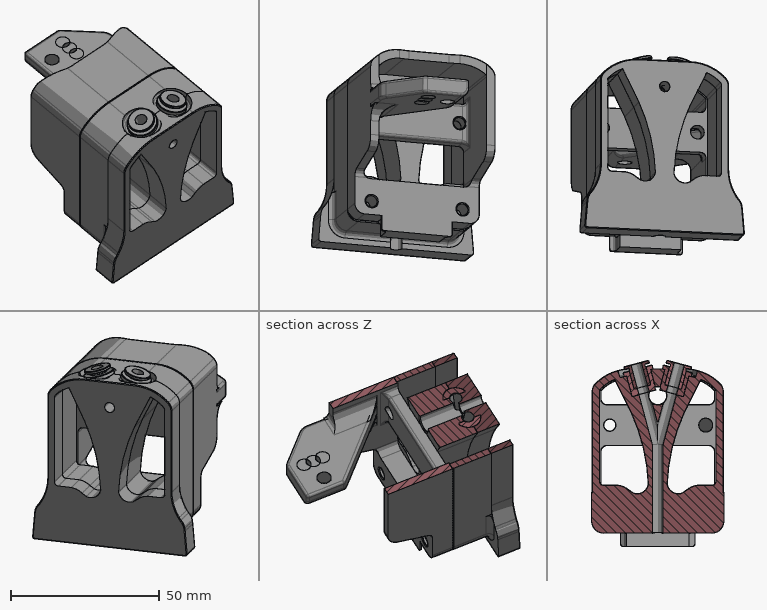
import cadquery as cq
import math


half_width = 22.1
wall = 3.0
top_z = 59.87
top_flat_half = 9.0
shoulder_radius = 4.0
inner_half = half_width - wall
diagonal = math.sqrt(0.5)
crown_radius = (half_width - shoulder_radius * (1 - diagonal) - top_flat_half) / diagonal
shoulder_z = top_z - crown_radius * (1 - diagonal) - shoulder_radius * diagonal
outline_overlap = 1.0

overall_length = 69.4
rear_x = 8.2
joint_x = -14.5
block_front_x = -22.2
crown_front_x = -35.0
hood_front_x = -39.0
arm_tip_x = rear_x - overall_length

shell_bottom_z = 5.2
shell_bottom_radius = 3.4
cavity_floor_z = 17.7
cavity_floor_radius = 2.6
brow_fillet = 10.0
skirt_angle = 15.0
skirt_corner_z = 19.9
skirt_front_radius = 5.0
skirt_rear_radius = 2.5
tab_half = 12.55
tab_corner_radius = 0.9
tab_root_radius = 0.85
tab_lip_thickness = 0.7
tab_stem_half = 10.5
tab_stem_radius = 2.0

bar_front_x = -19.0
bar_bottom_z = 34.0
bar_top_z = 47.8
bar_edge_fillet = 1.0
bar_end_radius = 2.0
mount_hole_diameter = 4.0
mount_hole_rim_diameter = 4.7
bar_hole_diameter = 4.7
mount_hole_y = 16.15
mount_low_z = 9.88
mount_high_z = 40.9

arm_bottom_z = 38.05
arm_top_z = 44.0
arm_side_y = -5.5
arm_tip_corner_y = 10.2
arm_corner_x = -47.0
arm_outer_radius = 5.0
arm_tip_radius = 2.0
arm_edge_fillet = 0.9
arm_low_side_radius = 3.0
gusset_radius = 5.0
gusset_front_top_radius = 2.0

arm_hole_diameter = 4.8
arm_hole_x = -52.35
arm_hole_y = -0.7
plug_y = 7.3
plug_pitch = 3.5
plug_xs = [arm_hole_x + step * plug_pitch for step in (-1, 0, 1)]

block_bottom_z = 4.7
block_bottom_radius = 3.9
joint_chamfer = 0.4
flange_fillet = 2.0
flange_fillet_top_z = 18.2
flange_half = 27.585
flange_bottom_z = 0.74
flange_side_half = 26.82
flange_side_z = 9.7
flange_ear_half = 26.7
flange_ear_z = 10.7
flange_ear_mid_half = 26.2
flange_ear_mid_z = 12.2
flange_ear_top_half = 25.3
flange_ear_top_z = 13.4
flange_flare_half = 24.7
flange_flare_z = 14.3
flange_flare_mid_half = 22.75
flange_flare_mid_z = 18.6
flange_top_z = 23.3
flange_corner_radius = 0.85
rear_chamfer = 0.3

window_wall = 2.5
window_corner_radius = 1.35
sill_z = 20.7
sill_bend_y = 13.6
sill_slope_y = 11.6
sill_slope_z = 20.2
sill_ramp_y = 9.8
sill_ramp_z = 19.1
trough_y = 8.3
trough_z = 18.1
web_root_half = 5.0
web_root_z = 18.35
web_foot_half = 3.2
web_foot_z = 21.0
web_mid_half = 5.0
web_mid_z = 33.8
web_neck_half = 8.9
web_neck_z = 45.0
web_top_half = 16.3

screw_z = 50.8
screw_hole_diameter = 3.5
screw_head_diameter = 6.0
screw_head_chamfer = 0.4

tilt = 15.0
seat_y = 6.46
seat_z = 58.62
recess_radius = 6.55
recess_floor_radius = 0.5
recess_height = 8.0
fitting_flange_diameter = 10.45
fitting_flange_height = 1.3
fitting_barrel_diameter = 8.47
fitting_barrel_length = 7.2
collet_flange_diameter = 9.0
collet_flange_height = 1.0
collet_shank_diameter = 6.0
collet_depth = 5.0
collet_top = 3.12
tube_diameter = 4.0
rim_chamfer = 0.2
merge_z = seat_z - seat_y / math.tan(math.radians(tilt))


def hood_profile(inset, bottom_z, bottom_radius, x_start, length):
    """Extrude the hood section, shrunk by `inset` at its sides and crown, along X."""
    side = half_width - inset
    crown = top_z - inset
    shoulder = shoulder_radius - inset
    arc = crown_radius - inset
    crown_centre_z = crown - arc
    shoulder_y = top_flat_half + arc * diagonal
    half_turn = math.pi / 8
    sin_half = math.sin(half_turn)
    cos_half = math.cos(half_turn)
    section = (
        cq.Workplane("YZ", origin=(x_start, 0, 0))
        .moveTo(-side, bottom_z)
        .lineTo(side, bottom_z)
        .lineTo(side, shoulder_z)
        .threePointArc(
            (side - shoulder * (1 - cos_half), shoulder_z + shoulder * sin_half),
            (shoulder_y, shoulder_z + shoulder * diagonal),
        )
        .threePointArc(
            (top_flat_half + arc * sin_half, crown_centre_z + arc * cos_half),
            (top_flat_half, crown),
        )
        .lineTo(-top_flat_half, crown)
        .threePointArc(
            (-top_flat_half - arc * sin_half, crown_centre_z + arc * cos_half),
            (-shoulder_y, shoulder_z + shoulder * diagonal),
        )
        .threePointArc(
            (-side + shoulder * (1 - cos_half), shoulder_z + shoulder * sin_half),
            (-side, shoulder_z),
        )
        .close()
        .extrude(length)
    )
    if bottom_radius:
        section = section.faces("<Z").edges("|X").fillet(bottom_radius)
    return section


def x_cylinder(diameter, y, z, x_start, x_end):
    return (
        cq.Workplane("YZ", origin=(x_start, y, z)).circle(diameter / 2).extrude(x_end - x_start)
    )


def countersink(hole_diameter, rim_diameter, y, z, x_front):
    """45 degree cone that breaks the front edge of a hole along X."""
    depth = (rim_diameter - hole_diameter) / 2
    return (
        cq.Workplane("YZ", origin=(x_front, y, z))
        .circle(rim_diameter / 2)
        .workplane(offset=depth)
        .circle(hole_diameter / 2)
        .loft()
    )


def place_fitting(shape, side):
    """Move a shape from the Z axis onto the tilted fitting axis of one side (+1 or -1)."""
    return shape.rotate((0, 0, 0), (1, 0, 0), -side * tilt).translate((0, side * seat_y, seat_z))


def hood_side_outline():
    """Side view of the hood walls and lower block, as a prism across the full width."""
    slope = math.tan(math.radians(skirt_angle))
    skirt_front_z = skirt_corner_z + (block_front_x - hood_front_x) * slope
    prism = (
        cq.Workplane("XZ", origin=(0, half_width, 0))
        .polyline([
            (joint_x, shell_bottom_z),
            (block_front_x, shell_bottom_z),
            (block_front_x, skirt_corner_z),
            (hood_front_x, skirt_front_z),
            (hood_front_x, top_z),
            (joint_x, top_z),
        ])
        .close()
        .extrude(2 * half_width)
    )
    front_corner = (hood_front_x, 0, skirt_front_z)
    rear_corner = (block_front_x, 0, skirt_corner_z)
    prism = prism.edges(cq.NearestToPointSelector(front_corner)).fillet(skirt_front_radius)
    return prism.edges(cq.NearestToPointSelector(rear_corner)).fillet(skirt_rear_radius)


def brow_plan():
    """Plan of the hood with its brow set back in the middle, as a tall prism."""
    prism = (
        cq.Workplane("XY")
        .polyline([
            (joint_x, -half_width),
            (hood_front_x, -half_width),
            (hood_front_x, -inner_half),
            (crown_front_x, -top_flat_half),
            (crown_front_x, top_flat_half),
            (hood_front_x, inner_half),
            (hood_front_x, half_width),
            (joint_x, half_width),
        ])
        .close()
        .extrude(top_z)
    )
    for side in (-1, 1):
        corner = (crown_front_x, side * top_flat_half, top_z / 2)
        prism = prism.edges(cq.NearestToPointSelector(corner)).fillet(brow_fillet)
    return prism


def make_hood():
    length = joint_x - hood_front_x
    outer = hood_profile(0, shell_bottom_z, shell_bottom_radius, hood_front_x, length)
    cavity = hood_profile(wall, cavity_floor_z, cavity_floor_radius, hood_front_x, length)
    return outer.cut(cavity).intersect(hood_side_outline()).intersect(brow_plan())


def bar_plan_end(plan, side):
    """Trace one end of the bar's plan, in the direction from -Y to +Y."""
    foot = (bar_front_x, side * (inner_half - bar_end_radius))
    flare = (bar_front_x - bar_end_radius, side * inner_half)
    if side > 0:
        return plan.lineTo(*foot).radiusArc(flare, -bar_end_radius)
    return plan.lineTo(*flare).radiusArc(foot, -bar_end_radius)


def make_cross_bar():
    """Bar between the hood walls, flaring into both walls on its front, top and bottom."""
    foot_y = inner_half - bar_end_radius
    low_z = bar_bottom_z - bar_end_radius
    high_z = bar_top_z + bar_end_radius
    plan = cq.Workplane("XY", origin=(0, 0, low_z)).moveTo(joint_x, -inner_half)
    for side in (-1, 1):
        plan = bar_plan_end(plan, side)
    plan = plan.lineTo(joint_x, inner_half).close().extrude(high_z - low_z)
    elevation = (
        cq.Workplane("YZ", origin=(joint_x, 0, 0))
        .moveTo(-inner_half, low_z)
        .radiusArc((-foot_y, bar_bottom_z), bar_end_radius)
        .lineTo(foot_y, bar_bottom_z)
        .radiusArc((inner_half, low_z), bar_end_radius)
        .lineTo(inner_half, high_z)
        .radiusArc((foot_y, bar_top_z), bar_end_radius)
        .lineTo(-foot_y, bar_top_z)
        .radiusArc((-inner_half, high_z), bar_end_radius)
        .close()
        .extrude(bar_front_x - bar_end_radius - joint_x)
    )
    bar = plan.intersect(elevation)
    for edge_z in (bar_bottom_z, bar_top_z):
        bar = bar.edges(cq.NearestToPointSelector((bar_front_x, 0, edge_z))).fillet(bar_edge_fillet)
    return bar


def make_tab():
    """Foot below the lower block: a wide front lip on a narrower stem."""
    lip_rear_x = block_front_x + tab_lip_thickness
    stem_start_x = lip_rear_x + tab_stem_radius
    overlap_z = shell_bottom_z + outline_overlap
    tab = (
        cq.Workplane("YZ", origin=(block_front_x, 0, 0))
        .moveTo(0, overlap_z / 2)
        .rect(2 * tab_half, overlap_z)
        .extrude(joint_x - block_front_x)
        .faces("<Z")
        .edges("|X")
        .fillet(tab_corner_radius)
    )
    for side in (-1, 1):
        stem_y = side * tab_stem_half
        relief = (
            cq.Workplane("XY")
            .moveTo(lip_rear_x, side * half_width)
            .lineTo(lip_rear_x, stem_y + side * tab_stem_radius)
            .radiusArc((stem_start_x, stem_y), -side * tab_stem_radius)
            .lineTo(joint_x, stem_y)
            .lineTo(joint_x, side * half_width)
            .close()
            .extrude(shell_bottom_z)
        )
        root = (
            cq.Workplane("YZ", origin=(stem_start_x, 0, 0))
            .moveTo(stem_y, shell_bottom_z - tab_root_radius)
            .radiusArc((stem_y + side * tab_root_radius, shell_bottom_z), -side * tab_root_radius)
            .lineTo(stem_y, shell_bottom_z)
            .close()
            .extrude(joint_x - stem_start_x)
        )
        tab = tab.cut(relief)
        tab = tab.union(root)
    return tab


arm_wall_x = arm_corner_x + inner_half - arm_side_y
arm_points = [
    (arm_tip_x, arm_side_y),
    (arm_corner_x, arm_side_y),
    (arm_wall_x, inner_half),
    (arm_wall_x, half_width),
    (arm_tip_x + half_width - arm_tip_corner_y, half_width),
    (arm_tip_x, arm_tip_corner_y),
]


def arm_prism(bottom_z, top):
    return cq.Workplane("XY", origin=(0, 0, bottom_z)).polyline(arm_points).close().extrude(top - bottom_z)


def make_arm_plate():
    middle_z = (arm_bottom_z + arm_top_z) / 2
    plate = arm_prism(arm_bottom_z, arm_top_z)
    low_edge = ((arm_tip_x + arm_corner_x) / 2, arm_side_y, arm_bottom_z)
    outer_corner = (*arm_points[4], middle_z)
    plate = plate.edges(cq.NearestToPointSelector(outer_corner)).fillet(arm_outer_radius)
    plate = plate.edges(cq.NearestToPointSelector((*arm_points[5], middle_z))).fillet(arm_tip_radius)
    plate = plate.edges(cq.NearestToPointSelector(low_edge)).fillet(arm_low_side_radius)
    plate = plate.faces(">Z or <Z or <X").edges().fillet(arm_edge_fillet)
    return plate


def make_gusset(plate_z, up, front_radius):
    """Concave blend from the arm into the hood wall, above (up = 1) or below (up = -1) the arm."""
    inner_start_y = inner_half - gusset_radius
    reach_z = plate_z + up * gusset_radius
    across = (
        cq.Workplane("YZ", origin=(arm_tip_x, 0, 0))
        .moveTo(inner_start_y, plate_z)
        .radiusArc((inner_half, reach_z), -up * gusset_radius)
        .lineTo(half_width, reach_z)
        .lineTo(half_width, plate_z)
        .close()
        .extrude(arm_wall_x - arm_tip_x)
    )
    front_z = plate_z + up * front_radius
    along = (
        cq.Workplane("XZ", origin=(0, half_width, 0))
        .moveTo(hood_front_x - front_radius, plate_z)
        .radiusArc((hood_front_x, front_z), -up * front_radius)
        .lineTo(hood_front_x, reach_z + up * outline_overlap)
        .lineTo(arm_wall_x, reach_z + up * outline_overlap)
        .lineTo(arm_wall_x, plate_z)
        .close()
        .extrude(2 * half_width)
    )
    low_z, high_z = sorted((plate_z, reach_z))
    return across.intersect(along).intersect(arm_prism(low_z, high_z))


def hole_prism(x, y):
    return (
        cq.Workplane("XY", origin=(x, y, arm_bottom_z))
        .circle(arm_hole_diameter / 2)
        .extrude(arm_top_z - arm_bottom_z)
    )


def make_front_shell():
    shell = make_hood().union(make_cross_bar()).union(make_tab()).union(make_arm_plate())
    shell = shell.union(make_gusset(arm_top_z, 1, gusset_front_top_radius))
    shell = shell.union(make_gusset(arm_bottom_z, -1, gusset_radius))
    mounts = [
        (mount_hole_y, mount_low_z, block_front_x),
        (-mount_hole_y, mount_low_z, block_front_x),
        (-mount_hole_y, mount_high_z, bar_front_x),
    ]
    for y, z, face_x in mounts:
        shell = shell.cut(x_cylinder(mount_hole_diameter, y, z, block_front_x, joint_x))
        shell = shell.cut(countersink(mount_hole_diameter, mount_hole_rim_diameter, y, z, face_x))
    shell = shell.cut(x_cylinder(bar_hole_diameter, mount_hole_y, mount_high_z, block_front_x, joint_x))
    shell = shell.cut(hole_prism(arm_hole_x, arm_hole_y))
    for x in plug_xs:
        shell = shell.cut(hole_prism(x, plug_y))
    return shell


def make_plug(index):
    """Plug filling one of the three overlapping holes, relieved where the holes overlap."""
    plug = hole_prism(plug_xs[index], plug_y)
    for other, x in enumerate(plug_xs):
        if other != index:
            plug = plug.cut(hole_prism(x, plug_y))
    return plug


def window_outline(side, x_start):
    """Area beside the Y-shaped web and above the sill, on one side."""
    return (
        cq.Workplane("YZ", origin=(x_start, 0, 0))
        .moveTo(side * half_width, sill_z)
        .lineTo(side * sill_bend_y, sill_z)
        .threePointArc((side * sill_slope_y, sill_slope_z), (side * sill_ramp_y, sill_ramp_z))
        .lineTo(side * trough_y, trough_z)
        .threePointArc((side * web_root_half, web_root_z), (side * web_foot_half, web_foot_z))
        .threePointArc((side * web_mid_half, web_mid_z), (side * web_neck_half, web_neck_z))
        .lineTo(side * web_top_half, top_z)
        .lineTo(side * half_width, top_z)
        .close()
    )


def window_opening(x_start, length):
    return hood_profile(window_wall, cavity_floor_z, 0, x_start, length)


def cut_windows(body, x_start, x_end):
    length = x_end - x_start
    for side in (-1, 1):
        window = window_opening(x_start, length).intersect(window_outline(side, x_start).extrude(length))
        corner = ((x_start + x_end) / 2, side * (half_width - window_wall), sill_z)
        window = window.edges(cq.NearestToPointSelector(corner)).fillet(window_corner_radius)
        body = body.cut(window)
    return body


def cut_fitting_space(body):
    """Recess, barrel bore and tube channel of each fitting, and the common outlet."""
    for side in (-1, 1):
        recess = cq.Workplane("XY").circle(recess_radius).extrude(recess_height)
        recess = recess.faces("<Z").edges().fillet(recess_floor_radius)
        barrel = cq.Workplane("XY").circle(fitting_barrel_diameter / 2).extrude(-fitting_barrel_length)
        channel_length = seat_y / math.sin(math.radians(tilt))
        channel = cq.Workplane("XY").circle(tube_diameter / 2).extrude(-channel_length)
        for tool in (recess, barrel, channel):
            body = body.cut(place_fitting(tool, side))
    outlet = cq.Workplane("XY").circle(tube_diameter / 2).extrude(merge_z)
    return body.cut(outlet)


def flange_skirt(x_start, length):
    """Lower part of the flange, flaring out from the hood width to the foot."""
    skirt = (
        cq.Workplane("YZ", origin=(x_start, 0, 0))
        .moveTo(0, flange_bottom_z)
        .lineTo(flange_half, flange_bottom_z)
        .lineTo(flange_side_half, flange_side_z)
        .lineTo(flange_ear_half, flange_ear_z)
        .threePointArc((flange_ear_mid_half, flange_ear_mid_z), (flange_ear_top_half, flange_ear_top_z))
        .lineTo(flange_flare_half, flange_flare_z)
        .threePointArc((flange_flare_mid_half, flange_flare_mid_z), (half_width, flange_top_z))
        .lineTo(0, flange_top_z)
        .close()
        .extrude(length)
    )
    foot = (x_start + length / 2, flange_half, flange_bottom_z)
    skirt = skirt.edges(cq.NearestToPointSelector(foot)).fillet(flange_corner_radius)
    return skirt.union(skirt.mirror("XZ"))


def make_rear_plate():
    plate = hood_profile(0, cavity_floor_z, 0, 0, rear_x).union(flange_skirt(0, rear_x)).clean()
    plate = plate.faces(">X").edges().chamfer(rear_chamfer)
    plate = cut_windows(plate, 0, rear_x)
    plate = plate.cut(x_cylinder(screw_hole_diameter, 0, screw_z, 0, rear_x))
    return cut_fitting_space(plate)


def make_flange_fillet():
    """Concave fillet around the lower sides and bottom of the block, against the rear plate."""
    bend = half_width - block_bottom_radius
    bend_z = block_bottom_z + block_bottom_radius
    mid_y = bend + block_bottom_radius * diagonal
    mid_z = bend_z - block_bottom_radius * diagonal
    path = (
        cq.Workplane("YZ")
        .moveTo(half_width, flange_fillet_top_z)
        .lineTo(half_width, bend_z)
        .threePointArc((mid_y, mid_z), (bend, block_bottom_z))
        .lineTo(-bend, block_bottom_z)
        .threePointArc((-mid_y, mid_z), (-half_width, bend_z))
        .lineTo(-half_width, flange_fillet_top_z)
    )
    fillet = (
        cq.Workplane("XY", origin=(0, half_width, flange_fillet_top_z))
        .moveTo(-flange_fillet, 0)
        .radiusArc((0, flange_fillet), -flange_fillet)
        .lineTo(0, 0)
        .close()
        .sweep(path)
    )
    return fillet.intersect(flange_skirt(-flange_fillet, flange_fillet))


def make_middle_block():
    block = hood_profile(0, block_bottom_z, block_bottom_radius, joint_x, -joint_x)
    block = block.faces("<X").edges().chamfer(joint_chamfer)
    block = block.union(make_flange_fillet())
    block = cut_windows(block, joint_x, 0)
    head_rim = screw_head_diameter + 2 * screw_head_chamfer
    block = block.cut(x_cylinder(screw_head_diameter, 0, screw_z, joint_x, 0))
    block = block.cut(countersink(screw_head_diameter, head_rim, 0, screw_z, joint_x))
    return cut_fitting_space(block)


def make_fitting_body(side):
    body = cq.Workplane("XY").circle(fitting_flange_diameter / 2).extrude(fitting_flange_height)
    body = body.faces(">Z").edges().chamfer(rim_chamfer)
    body = body.union(cq.Workplane("XY").circle(fitting_barrel_diameter / 2).extrude(-fitting_barrel_length))
    body = body.cut(cq.Workplane("XY").circle(tube_diameter / 2).extrude(-fitting_barrel_length))
    socket = (
        cq.Workplane("XY", origin=(0, 0, -collet_depth))
        .circle(collet_shank_diameter / 2)
        .extrude(collet_depth + fitting_flange_height)
    )
    return place_fitting(body.cut(socket), side)


def make_collet(side):
    flange = (
        cq.Workplane("XY", origin=(0, 0, collet_top - collet_flange_height))
        .circle(collet_flange_diameter / 2)
        .extrude(collet_flange_height)
        .edges()
        .chamfer(rim_chamfer)
    )
    length = collet_depth + collet_top
    base = cq.Workplane("XY", origin=(0, 0, -collet_depth))
    collet = flange.union(base.circle(collet_shank_diameter / 2).extrude(length))
    collet = collet.cut(base.circle(tube_diameter / 2).extrude(length))
    return place_fitting(collet, side)


front_shell = make_front_shell()
middle_block = make_middle_block()
rear_plate = make_rear_plate()
plugs = [make_plug(index) for index in range(len(plug_xs))]
fitting_bodies = [make_fitting_body(side) for side in (-1, 1)]
collets = [make_collet(side) for side in (-1, 1)]

result = cq.Compound.makeCompound([
    front_shell.val(),
    middle_block.val(),
    rear_plate.val(),
    *[plug.val() for plug in plugs],
    *[body.val() for body in fitting_bodies],
    *[collet.val() for collet in collets],
])